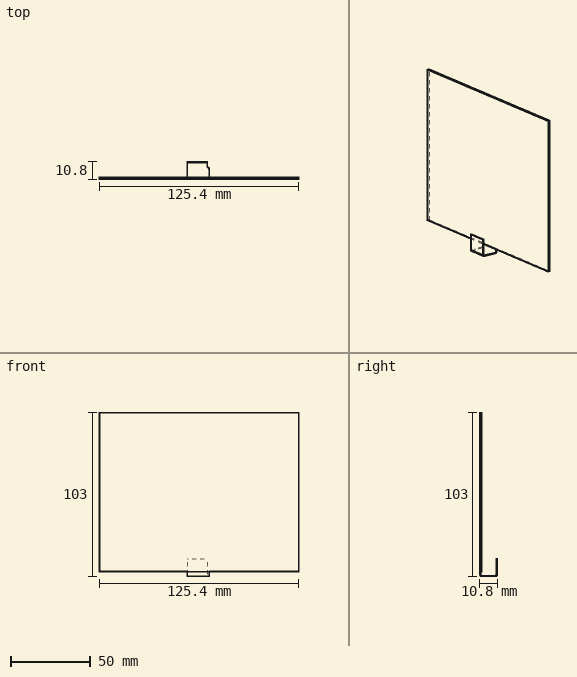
import cadquery as cq
import math

panel_width = 125.4
panel_thickness = 1.3
overall_height = 103.0
panel_bottom = 3.0

sheet = 0.5
hook_depth = 10.8
hook_left = -7.5
hook_width = 14.0
back_leg_height = 11.2
bend_radius = 1.0

step_width = 1.3
step_from_back = 3.1
step_radius = 2.5


def make_panel():
    return cq.Workplane("XY").box(
        panel_width, panel_thickness, overall_height - panel_bottom, centered=(True, False, False)
    ).translate((0, 0, panel_bottom))


def make_folded_strip():
    """U section with its front leg flush with the panel's front face."""
    front_leg_top = panel_bottom + panel_thickness
    inner_radius = bend_radius - sheet
    back_inside = hook_depth - sheet
    diagonal = math.sqrt(0.5)
    outer_inset = bend_radius * (1 - diagonal)
    inner_inset = bend_radius - inner_radius * diagonal
    return (
        cq.Workplane("YZ", origin=(hook_left, 0, 0))
        .moveTo(0, front_leg_top)
        .lineTo(0, bend_radius)
        .threePointArc((outer_inset, outer_inset), (bend_radius, 0))
        .lineTo(hook_depth - bend_radius, 0)
        .threePointArc((hook_depth - outer_inset, outer_inset), (hook_depth, bend_radius))
        .lineTo(hook_depth, back_leg_height)
        .lineTo(back_inside, back_leg_height)
        .lineTo(back_inside, bend_radius)
        .threePointArc((hook_depth - inner_inset, inner_inset), (hook_depth - bend_radius, sheet))
        .lineTo(bend_radius, sheet)
        .threePointArc((inner_inset, inner_inset), (sheet, bend_radius))
        .lineTo(sheet, front_leg_top)
        .close()
        .extrude(hook_width)
    )


def make_hook_outline():
    """Plan shape of the hook, narrower towards its back leg."""
    hook_right = hook_left + hook_width
    narrow_right = hook_right - step_width
    arc_angle = math.acos(1 - step_width / step_radius)
    arc_back = hook_depth - step_from_back
    arc_front = arc_back - step_radius * math.sin(arc_angle)
    arc_middle = (
        hook_right - step_radius * (1 - math.cos(arc_angle / 2)),
        arc_front + step_radius * math.sin(arc_angle / 2),
    )
    return (
        cq.Workplane("XY")
        .moveTo(hook_left, 0)
        .lineTo(hook_right, 0)
        .lineTo(hook_right, arc_front)
        .threePointArc(arc_middle, (narrow_right, arc_back))
        .lineTo(narrow_right, hook_depth)
        .lineTo(hook_left, hook_depth)
        .close()
        .extrude(back_leg_height)
    )


hook = make_folded_strip().intersect(make_hook_outline())
result = make_panel().union(hook)